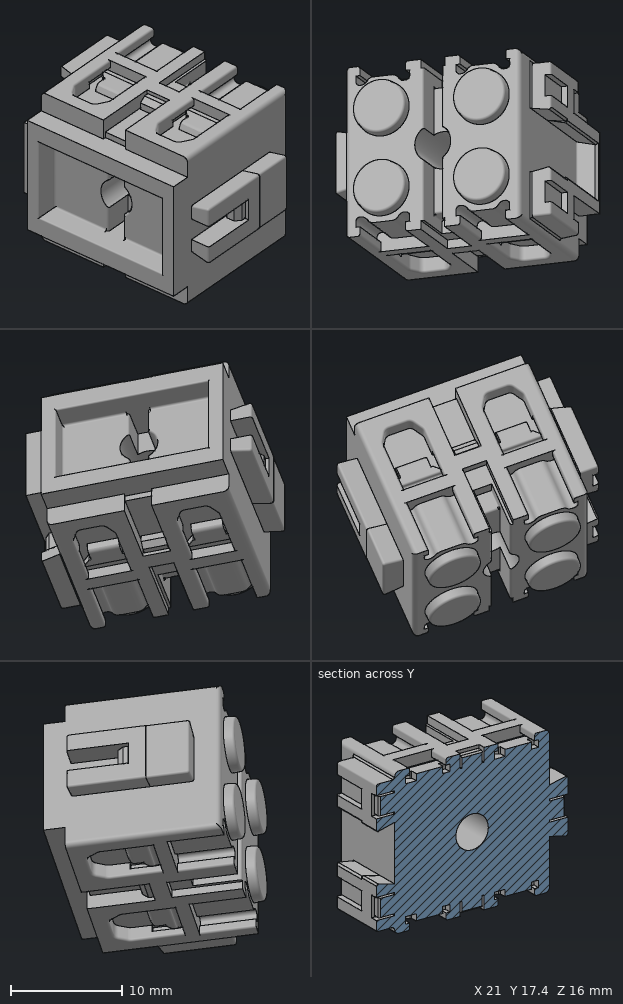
import cadquery as cq
import math


total_width = 21.0
body_width = 16.99
body_height = 16.0
body_back = 16.34
base_depth = 2.0
base_height = 11.89
body_round = 0.5
edge_round = 0.23

half_body = body_width / 2
half_total = total_width / 2
half_height = body_height / 2
half_base = base_height / 2

recess_width = 14.22
recess_height = 8.13
recess_rim_round = 0.17
recess_depth = 2.2
channel_width = 1.75
channel_back = 5.05
hole_radius = 1.75

screw_x = 4.85
screw_z = 3.75
screw_radius = 2.58
screw_back = 17.35
screw_round = 0.25
screw_taper = 4.0

slot_front = 11.13
slot_half = 2.2
skin_thickness = 0.88
cavity_half = 2.6
cavity_depth = 1.8
cavity_round = 0.42
crown_depth = 1.13
crown_half = 0.9

window_back = 9.83
window_front = 3.5
window_half = 1.97
window_skin = 0.75
window_cavity_half = 2.4
floor_depth = 1.45
tongue_half = 1.47
tongue_offset = 0.19
tongue_front = 6.8

gap_half = 0.88
gap_front = 11.82
gap_recess_half = 1.15
gap_recess_depth = 0.82
bridge_back = 13.85
bridge_half_height = half_base
bridge_round = 0.15

hook_back = 8.17
hook_crest = 7.69
hook_face = 7.12
hook_crest_depth = 0.3
hook_slope = 0.46
hook_clearance = 0.15
notch_back = 8.25
top_notch_half = 1.28
top_floor_front = 2.29
side_notch_half = 1.11
side_undercut = 0.4

rail_depth = half_total - half_body
rail_back = bridge_back
rail_step = 9.85
dovetail_front = 2.56
dovetail_root_half = 2.56
dovetail_tip_half = 3.0
dovetail_tail_relief = 0.05
panel_half = 7.27
panel_foot = 0.17
tab_outer_z = 6.11
tongue_root_half = 3.88
tongue_tip_half = 3.82
arm_end_outer = 7.22
arm_end_inner = 6.68
socket_mouth_half = 2.5
socket_tail_mouth_half = 2.67
socket_floor_round = 0.17
side_hook_z = 5.0
pocket_half = 0.998
pocket_depth = 0.6


def box(x0, x1, y0, y1, z0, z1):
    """Axis-aligned block between two corners."""
    return cq.Workplane("XY").box(x1 - x0, y1 - y0, z1 - z0, centered=False).translate((x0, y0, z0))


def along_y(profile, y0, y1):
    """Sweep an XZ-plane profile (a function drawing on a workplane) from y0 to y1."""
    return profile(cq.Workplane("XZ", origin=(0, y0, 0))).extrude(-(y1 - y0))


def both_halves(shape):
    """The shape together with its mirror image below Z = 0."""
    return shape.union(shape.mirror("XY"))


def make_body():
    block = box(-half_body, half_body, base_depth, body_back, -half_height, half_height)
    upright = block.edges("|Z and >Y").fillet(body_round)
    block = block.edges("|Y").fillet(body_round).intersect(upright)
    plate = box(-half_body, half_body, 0, base_depth, -half_base, half_base)
    return block.union(plate)


def make_screws():
    centres = [(x, z) for x in (-screw_x, screw_x) for z in (-screw_z, screw_z)]
    root = body_back - screw_round
    screws = cq.Workplane("XZ", origin=(0, root, 0)).pushPoints(centres).circle(screw_radius)
    screws = screws.extrude(-(screw_back - root), taper=screw_taper)
    return screws.faces(">Y").edges().fillet(screw_round)


def make_front_recess():
    pocket = cq.Workplane("XZ").rect(recess_width, recess_height)
    pocket = pocket.extrude(-recess_depth).faces(">Y").edges().fillet(edge_round)

    half = channel_width / 2
    rounding = math.sqrt(0.5) * edge_round
    start = recess_depth - edge_round

    wp = cq.Workplane("XY", origin=(0, 0, -recess_height / 2))
    wp = wp.moveTo(half + edge_round, start).lineTo(half + edge_round, recess_depth)
    wp = wp.threePointArc((half + edge_round - rounding, recess_depth + edge_round - rounding),
                          (half, recess_depth + edge_round))
    wp = wp.lineTo(half, channel_back).lineTo(-half, channel_back)
    wp = wp.lineTo(-half, recess_depth + edge_round)
    wp = wp.threePointArc((-half - edge_round + rounding, recess_depth + edge_round - rounding),
                          (-half - edge_round, recess_depth))
    channel = wp.lineTo(-half - edge_round, start).close().extrude(recess_height)

    hole = along_y(lambda w: w.circle(hole_radius), -0.2, body_back + 0.2)
    flare = cq.Workplane("XY").moveTo(0, start).lineTo(hole_radius + edge_round, start)
    flare = flare.lineTo(hole_radius + edge_round, recess_depth)
    flare = flare.threePointArc(
        (hole_radius + edge_round - rounding, recess_depth + edge_round - rounding),
        (hole_radius, recess_depth + edge_round))
    flare = flare.lineTo(0, recess_depth + edge_round).close().revolve(360, (0, 0, 0), (0, 1, 0))
    flare = flare.intersect(box(half, half_body, 0, body_back, -half_height, half_height))
    return pocket.union(channel).union(hole).union(flare)


def make_screw_slot(x):
    """Slot with rounded lips over a wider cavity; the screw cage crowns its floor."""
    top = half_height
    bend = math.sqrt(0.5) * edge_round
    cavity_bend = (1 - math.sqrt(0.5)) * cavity_round
    lip = slot_half + edge_round
    floor = top - cavity_depth
    crown = top - crown_depth
    slope_half = crown_half + 0.6
    foot_half = 2 * slope_half - crown_half
    slope_z = (floor + crown) / 2

    def profile(wp):
        wp = wp.center(x, 0).moveTo(-lip, top + 0.2).lineTo(-lip, top)
        wp = wp.threePointArc((-lip + bend, top - edge_round + bend), (-slot_half, top - edge_round))
        wp = wp.lineTo(-slot_half, top - skin_thickness).lineTo(-cavity_half, top - skin_thickness)
        wp = wp.lineTo(-cavity_half, floor + cavity_round)
        wp = wp.threePointArc((-cavity_half + cavity_bend, floor + cavity_bend),
                              (-cavity_half + cavity_round, floor)).lineTo(-foot_half, floor)
        wp = wp.tangentArcPoint((-slope_half, slope_z), relative=False)
        wp = wp.tangentArcPoint((-crown_half, crown), relative=False)
        wp = wp.lineTo(crown_half, crown)
        wp = wp.tangentArcPoint((slope_half, slope_z), relative=False)
        wp = wp.tangentArcPoint((foot_half, floor), relative=False)
        wp = wp.lineTo(cavity_half - cavity_round, floor)
        wp = wp.threePointArc((cavity_half - cavity_bend, floor + cavity_bend),
                              (cavity_half, floor + cavity_round))
        wp = wp.lineTo(cavity_half, top - skin_thickness)
        wp = wp.lineTo(slot_half, top - skin_thickness).lineTo(slot_half, top - edge_round)
        wp = wp.threePointArc((lip - bend, top - edge_round + bend), (lip, top))
        return wp.lineTo(lip, top + 0.2).close()

    return along_y(profile, slot_front, body_back)


def window_outline(wp, half):
    """Window shape: square at the back, tapering to a blunt nose at the front."""
    shoulder_y = window_front + 1.25
    nose_half = half - 0.74
    points = [(-half, window_back), (-half, shoulder_y), (-nose_half, window_front),
              (nose_half, window_front), (half, shoulder_y), (half, window_back)]
    return wp.polyline(points).close()


def make_window():
    """Terminal window centred on X = 0, with a rounded rim and a contact inside."""
    nose_round = 0.63
    floor = half_height - floor_depth
    ledge = half_height - window_skin
    opening = window_outline(cq.Workplane("XY", origin=(0, 0, floor)), window_half)
    opening = opening.extrude(floor_depth).edges("|Z and (not >Y)").fillet(nose_round)

    margin = 0.85
    block = box(-window_half - margin, window_half + margin, window_front - margin, window_back,
                floor, half_height)
    rimmed = block.cut(opening)
    rim_zone = cq.selectors.BoxSelector(
        (-window_half - 0.02, window_front - 0.02, half_height - 0.02),
        (window_half + 0.02, window_back - 0.02, half_height + 0.02))
    rimmed = rimmed.edges(rim_zone).fillet(edge_round)
    opening = block.cut(rimmed)

    cavity = box(-window_cavity_half, window_cavity_half, tongue_front, window_back, floor, ledge)
    return opening.union(cavity).cut(make_contact(floor, ledge))


def make_contact(floor, ledge):
    """Ledge at the back of a window, with a tongue curving down to the floor."""
    ledge_front = 8.21
    ledge_back = 8.88
    gutter_front = 9.28
    gutter = ledge - 0.38
    middle = ((ledge_back + gutter_front) / 2, (ledge + gutter) / 2)
    corner_cut = 0.92
    shelf = cq.Workplane("YZ", origin=(-window_cavity_half, 0, 0)).moveTo(ledge_front, floor)
    shelf = shelf.lineTo(ledge_front, ledge).lineTo(ledge_back, ledge)
    shelf = shelf.tangentArcPoint(middle, relative=False)
    shelf = shelf.tangentArcPoint((gutter_front, gutter), relative=False)
    shelf = shelf.lineTo(window_back, gutter).lineTo(window_back, floor).close()
    shelf = shelf.extrude(2 * window_cavity_half)
    shelf = shelf.edges("<X and <Y and |Z").chamfer(corner_cut)

    brow_front = 7.05
    brow_drop = 0.19
    tongue = cq.Workplane("YZ", origin=(tongue_offset - tongue_half, 0, 0))
    tongue = tongue.moveTo(ledge_front, floor).lineTo(ledge_front, ledge).lineTo(7.43, ledge)
    tongue = tongue.tangentArcPoint((brow_front, ledge - brow_drop), relative=False)
    tongue = tongue.lineTo(tongue_front, floor).close().extrude(2 * tongue_half)
    return shelf.union(tongue)


def make_gap():
    """Slot between the columns: full height at the back, stepped around a bridge."""
    full = box(-gap_half, gap_half, bridge_back, body_back, -half_height, half_height)
    above = box(-gap_half, gap_half, gap_front, body_back, bridge_half_height, half_height)
    above = above.edges("<Z and |Y").fillet(bridge_round)
    recess = box(-gap_recess_half, gap_recess_half, window_back, body_back,
                 half_height - gap_recess_depth, half_height)
    corner = box(-gap_half, gap_half, bridge_back - edge_round, bridge_back,
                 bridge_half_height - edge_round, bridge_half_height)
    cylinder = cq.Workplane("YZ", origin=(-gap_half, bridge_back - edge_round,
                                          bridge_half_height - edge_round))
    corner = corner.cut(cylinder.circle(edge_round).extrude(2 * gap_half))
    return full.union(both_halves(above.union(recess).union(corner)))


def make_hook(width, root_depth, undercut):
    """Hook centred on X = 0, its outer reference surface at Z = 0."""
    crest = -hook_crest_depth
    brow = crest - hook_slope
    points = [(hook_back, -root_depth), (hook_back, crest), (hook_crest, crest), (hook_face, brow),
              (hook_face, undercut - root_depth), (hook_face + undercut, -root_depth)]
    if undercut == 0:
        points.pop()
    return cq.Workplane("YZ", origin=(-width / 2, 0, 0)).polyline(points).close().extrude(width)


def make_side_hook(side, z):
    width = 2 * (side_notch_half - hook_clearance)
    hook = make_hook(width, rail_depth, side_undercut)
    hook = hook.rotate((0, 0, 0), (0, 1, 0), side * 90)
    return hook.translate((side * half_total, 0, z))


def make_top_notch():
    return box(-top_notch_half, top_notch_half, top_floor_front, notch_back,
               half_height - floor_depth, half_height).union(
        box(-top_notch_half, top_notch_half, base_depth, top_floor_front, half_base, half_height))


def make_dovetail():
    """Dovetail rail on the +X side with a snap hook in its front half."""
    def section(tip_x):
        points = [(half_body, -dovetail_root_half), (half_body, dovetail_root_half),
                  (tip_x, dovetail_tip_half), (tip_x, -dovetail_tip_half)]
        return lambda wp: wp.polyline(points).close()

    front = along_y(section(half_total), dovetail_front, rail_step)
    front = front.edges("(not <X) and (not >Y)").fillet(edge_round)
    tail = along_y(section(half_total - dovetail_tail_relief), rail_step, rail_back)
    tail = tail.edges("(not <X) and (not <Y)").fillet(edge_round)
    notch = box(half_body, half_total, dovetail_front, notch_back, -side_notch_half, side_notch_half)
    return front.union(tail).cut(notch).union(make_side_hook(1, 0))


def make_socket():
    """Dovetail channel cut into the panel, with eased edges at its mouth."""
    def section(mouth_half):
        points = [(-half_body, -dovetail_tip_half), (-half_body, dovetail_tip_half),
                  (-half_total, mouth_half), (-half_total, -mouth_half)]
        return lambda wp: wp.polyline(points).close()

    def eased_mouth(mouth_half, y0, y1):
        wide = 2 * (mouth_half + edge_round)
        wp = cq.Workplane("YZ", origin=(-half_total, (y0 + y1) / 2, 0))
        return wp.rect(y1 - y0, wide).extrude(edge_round, taper=45)

    socket = along_y(section(socket_mouth_half), dovetail_front, rail_step)
    socket = socket.edges(">X and <Y").fillet(socket_floor_round)
    socket = socket.union(along_y(section(socket_tail_mouth_half), rail_step, body_back))
    socket = socket.union(eased_mouth(socket_mouth_half, dovetail_front - edge_round,
                                      rail_step + edge_round))
    return socket.union(eased_mouth(socket_tail_mouth_half, rail_step - edge_round,
                                    rail_back + 2 * edge_round).intersect(
        box(-half_total, -half_body, rail_step, rail_back, -panel_half, panel_half)))


def make_panel():
    """Socket panel on the -X side: two arms outside, a long tongue in the middle."""
    blank = box(-half_total, -half_body, base_depth, rail_back, -panel_half, panel_half)
    blank = blank.edges("(<X and (not <Y)) or (|X and >Y)").fillet(edge_round)
    foot = cq.Workplane("YZ", origin=(-half_body, (base_depth + rail_back) / 2, 0))
    foot = foot.rect(rail_back - base_depth + 2 * panel_foot, 2 * (panel_half + panel_foot))
    blank = blank.union(foot.extrude(-panel_foot, taper=45))

    front = base_depth - panel_foot
    clear_z = panel_half + panel_foot
    arm_end = [(-half_total, front), (-half_total, arm_end_outer), (-half_body, arm_end_inner),
               (-half_body, front)]
    ahead_of_arm = cq.Workplane("XY", origin=(0, 0, tab_outer_z)).polyline(arm_end).close()
    ahead_of_arm = ahead_of_arm.extrude(clear_z - tab_outer_z)
    beside_tongue = [(front, tongue_tip_half), (notch_back, tongue_root_half),
                     (notch_back, tab_outer_z), (front, tab_outer_z)]
    notch = cq.Workplane("YZ", origin=(-half_total, 0, 0)).polyline(beside_tongue).close()
    notch = notch.extrude(rail_depth)
    pocket = box(-half_total, -half_total + pocket_depth, rail_step, rail_back,
                 side_hook_z - pocket_half, side_hook_z + pocket_half)
    removed = both_halves(ahead_of_arm.union(notch).union(pocket))
    removed = removed.union(box(-half_total, -half_body, front, base_depth, -clear_z, clear_z))
    panel = blank.cut(removed).cut(make_socket())
    return panel.union(both_halves(make_side_hook(-1, side_hook_z)))


body = make_body().cut(make_gap())
body = body.edges(cq.selectors.BoxSelector((-gap_half - 0.02, body_back - 0.02, -half_height),
                                           (gap_half + 0.02, body_back + 0.02, half_height)))
body = body.edges("|Z").fillet(edge_round)

window = make_window()
for column in (-screw_x, screw_x):
    body = body.cut(both_halves(make_screw_slot(column)))
    body = body.cut(both_halves(window.translate((column, 0, 0))))

top_hook = make_hook(2 * (top_notch_half - hook_clearance), floor_depth, 0)
body = body.cut(both_halves(make_top_notch()))
body = body.union(both_halves(top_hook.translate((0, 0, half_height))))
body = body.union(make_screws()).cut(make_front_recess())

rim_x = recess_width / 2 + 0.02
rim_z = recess_height / 2 + 0.02
recess_rim = cq.selectors.BoxSelector((-rim_x, -0.02, -rim_z), (rim_x, 0.02, rim_z))
body = body.edges(recess_rim).fillet(recess_rim_round)
result = body.union(make_dovetail()).union(make_panel())